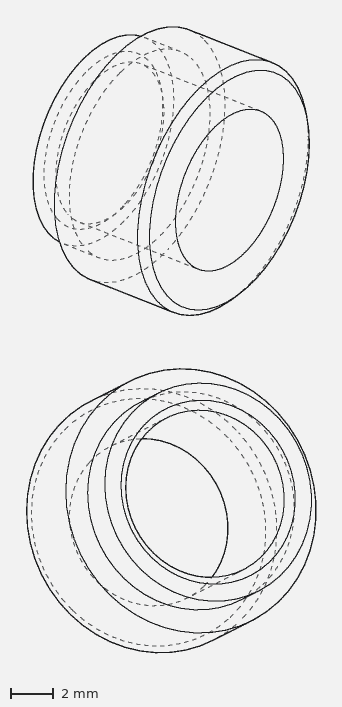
import cadquery as cq

total_length = 7.68
body_diameter = 12.65
spigot_diameter = 10.44
spigot_length = 2.21
bore_diameter = 8.0
chamfer_size = 0.4


def cylinder_along_x(diameter, start, length):
    """Cylinder on the X axis, running from start towards +X."""
    return cq.Workplane("YZ", origin=(start, 0, 0)).circle(diameter / 2).extrude(length)


def make_body():
    """Large ring with its outer edge chamfered at the +X end."""
    body = cylinder_along_x(body_diameter, spigot_length, total_length - spigot_length)
    return body.faces(">X").edges().chamfer(chamfer_size)


def make_spigot():
    """Smaller locating ring at the -X end."""
    return cylinder_along_x(spigot_diameter, 0, spigot_length)


def cut_bore(part):
    """Through bore with a lead-in chamfer at the -X end."""
    bored = part.cut(cylinder_along_x(bore_diameter, 0, total_length))
    bore_mouth = bored.faces("<X").edges(cq.selectors.RadiusNthSelector(0))
    return bore_mouth.chamfer(chamfer_size)


result = cut_bore(make_body().union(make_spigot()))